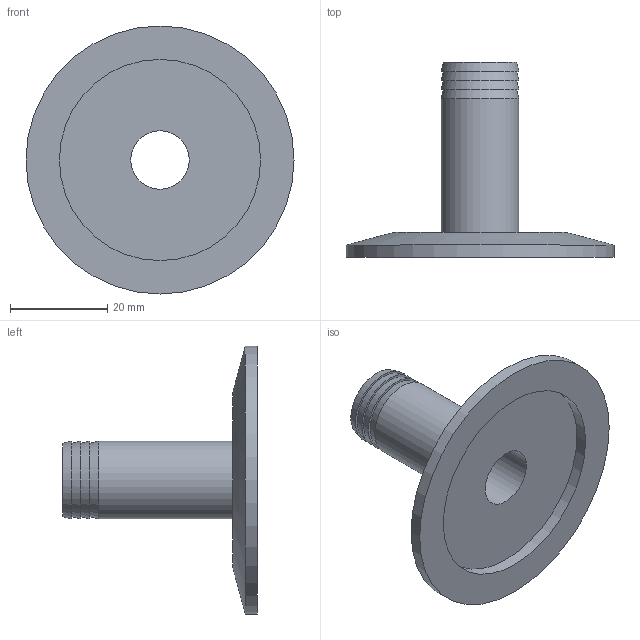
import cadquery as cq
import math


overall_length = 40.0
flange_radius = 55.0 / 2
rim_thickness = 2.5
flange_thickness = 5.1
clamp_angle = 15.0
recess_radius = 41.3 / 2
recess_depth = 2.5
nozzle_radius = 16.0 / 2
bore_radius = 12.0 / 2
barb_count = 4
barb_height = 0.5
barb_angle = 15.0

cone_height = flange_thickness - rim_thickness
cone_top_radius = flange_radius - cone_height / math.tan(math.radians(clamp_angle))
barb_root_radius = nozzle_radius - barb_height
barb_pitch = barb_height / math.tan(math.radians(barb_angle))
barbs_start = overall_length - barb_count * barb_pitch


def make_flange():
    """Disc with a straight rim and a conical back, still without openings."""
    profile = [
        (0, 0),
        (flange_radius, 0),
        (flange_radius, rim_thickness),
        (cone_top_radius, flange_thickness),
        (0, flange_thickness),
    ]
    return cq.Workplane("XY").polyline(profile).close().revolve(360, (0, 0), (0, 1))


def make_nozzle():
    """Round tube body ending in a row of barbs that taper toward the tip."""
    profile = [(0, 0), (nozzle_radius, 0)]
    for barb in range(barb_count):
        barb_base = barbs_start + barb * barb_pitch
        profile.append((nozzle_radius, barb_base))
        profile.append((barb_root_radius, barb_base + barb_pitch))
    profile.append((0, overall_length))
    return cq.Workplane("XY").polyline(profile).close().revolve(360, (0, 0), (0, 1))


def make_round_cutter(radius, depth):
    """Cylinder reaching from the sealing face to the given depth."""
    return cq.Workplane("XZ").circle(radius).extrude(-depth)


result = make_flange().union(make_nozzle())
result = result.cut(make_round_cutter(recess_radius, recess_depth))
result = result.cut(make_round_cutter(bore_radius, overall_length))